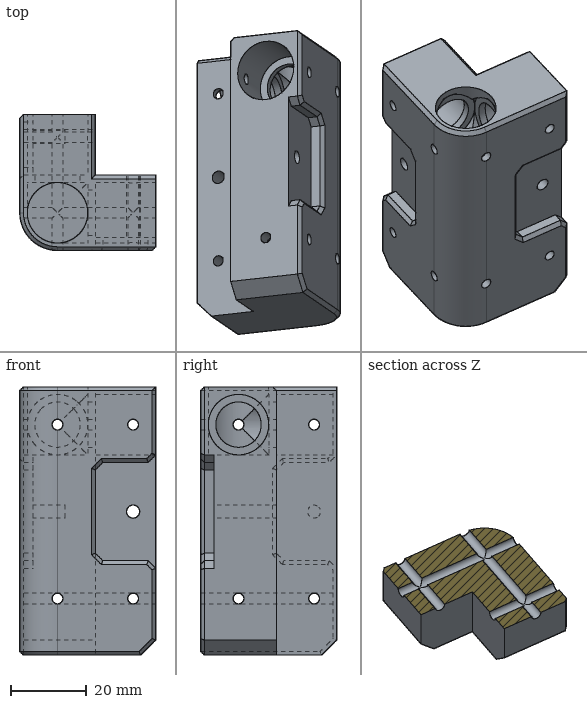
import cadquery as cq

leg_length = 36.0
leg_width = 20.0
height = 71.0
corner_radius = 10.0
foot_cut = 4.0
bevel = 1.0

recess_depth = 3.5
recess_start = 20.0
recess_bottom = 25.0
recess_top = 51.0
recess_corner_cut = 2.0

bore_axis = corner_radius
cross_bore_height = 61.0
wide_bore_diameter = 16.0
narrow_bore_diameter = 12.0
upright_bore_floor = cross_bore_height - wide_bore_diameter / 2
collar_start = 18.0
collar_end = 20.0

screw_diameter = 2.8
screw_columns = (bore_axis, 30.0)
screw_rows = (15.0, cross_bore_height)
mount_diameter = 3.4
mount_position = (30.0, 38.0)
blind_mount_depth = 12.0

TOLERANCE = 1e-4


def mirrored(shape):
    """Reflect a shape across the plane x = y, from one leg to the other."""
    return shape.mirror("XZ").rotate((0, 0, 0), (0, 0, 1), 90)


def face_prism(outline, depth):
    """Extrude an X-Z outline from the y = 0 face into the block."""
    return outline.extrude(-depth)


def block():
    plan = [
        (0, 0),
        (leg_length, 0),
        (leg_length, leg_width),
        (leg_width, leg_width),
        (leg_width, leg_length),
        (0, leg_length),
    ]
    body = cq.Workplane("XY").polyline(plan).close().extrude(height)
    rounded_edge = cq.selectors.NearestToPointSelector((0, 0, height / 2))
    return body.edges("|Z").edges(rounded_edge).fillet(corner_radius)


def foot_cutter():
    outline = (
        cq.Workplane("XZ")
        .moveTo(leg_length - foot_cut, 0)
        .lineTo(leg_length, foot_cut)
        .lineTo(leg_length, 0)
        .close()
    )
    return face_prism(outline, leg_width)


def recess_cutter():
    cut = recess_corner_cut
    outline = cq.Workplane("XZ").polyline([
        (leg_length, recess_bottom - cut),
        (leg_length - cut, recess_bottom),
        (recess_start + cut, recess_bottom),
        (recess_start, recess_bottom + cut),
        (recess_start, recess_top - cut),
        (recess_start + cut, recess_top),
        (leg_length - cut, recess_top),
        (leg_length, recess_top + cut),
    ]).close()
    return face_prism(outline, recess_depth)


def is_outer_rim(edge):
    """True for the edges that border the outer faces and the round corner."""
    box = edge.BoundingBox()
    if edge.geomType() == "CIRCLE":
        return True
    is_tangent_line = box.zlen > height - TOLERANCE
    on_outer_face = box.xmax < TOLERANCE or box.ymax < TOLERANCE
    return on_outer_face and not is_tangent_line


def is_inner_top(edge):
    """True for the top edges along the inside of the L."""
    box = edge.BoundingBox()
    inside = box.xmin > leg_width - TOLERANCE and box.ymin > leg_width - TOLERANCE
    return inside and box.zmin > height - TOLERANCE


def bore_section(diameter, start, end):
    """Round section along Y, on the axis of the cross bore."""
    return (
        cq.Workplane("XZ", origin=(bore_axis, start, cross_bore_height))
        .circle(diameter / 2)
        .extrude(start - end)
    )


def cross_bore():
    """Wide bore along Y, narrowed by a collar, open at the end of the leg."""
    inner = bore_section(wide_bore_diameter, bore_axis, collar_start)
    collar = bore_section(narrow_bore_diameter, collar_start, collar_end)
    socket = bore_section(wide_bore_diameter, collar_end, leg_length)
    return inner.union(collar).union(socket)


def upright_bore():
    return (
        cq.Workplane("XY", origin=(bore_axis, bore_axis, upright_bore_floor))
        .circle(wide_bore_diameter / 2)
        .extrude(height - upright_bore_floor)
    )


def screw_holes():
    points = [(x, z) for x in screw_columns for z in screw_rows]
    outline = cq.Workplane("XZ").pushPoints(points).circle(screw_diameter / 2)
    return face_prism(outline, leg_length)


def mount_hole(depth):
    outline = cq.Workplane("XZ").pushPoints([mount_position]).circle(mount_diameter / 2)
    return face_prism(outline, depth)


body = block()
for cutter in (foot_cutter(), recess_cutter()):
    body = body.cut(cutter).cut(mirrored(cutter))

body = body.newObject([e for e in body.edges().vals() if is_outer_rim(e)]).chamfer(bevel)
body = body.newObject([e for e in body.edges().vals() if is_inner_top(e)]).chamfer(bevel)

body = body.cut(upright_bore())
for cutter in (cross_bore(), screw_holes()):
    body = body.cut(cutter).cut(mirrored(cutter))
body = body.cut(mount_hole(leg_width)).cut(mirrored(mount_hole(blind_mount_depth)))

result = body